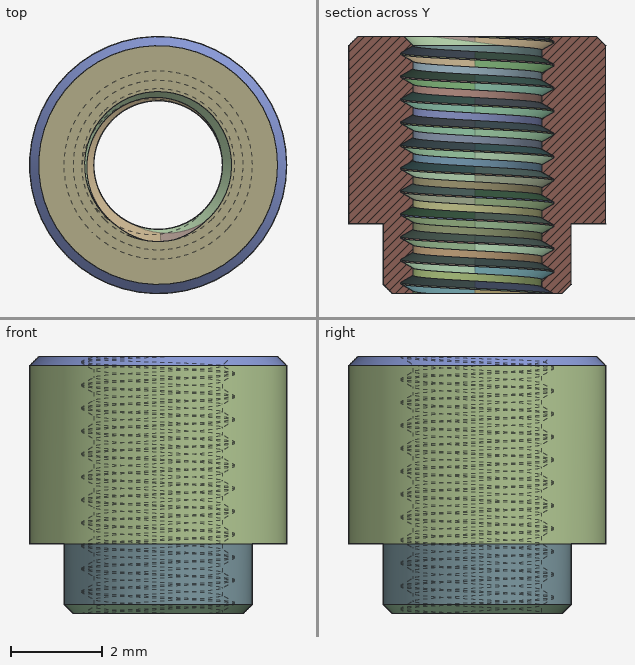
import cadquery as cq
import math

total_height = 5.6
body_diameter = 5.6
spigot_diameter = 4.1
spigot_height = 1.52
edge_chamfer = 0.2

bore_diameter = 2.795
mouth_diameter = 3.2
thread_pitch = 0.5
thread_root_diameter = 3.325
thread_crest_flat = 0.16
flank_angle = 30.0
groove_top_angle = -88.0
bore_overlap = 0.045


def stepped_body():
    """Wide cylinder on a narrower spigot, chamfered at both ends."""
    spigot = (
        cq.Workplane("XY")
        .circle(spigot_diameter / 2)
        .extrude(spigot_height)
        .faces("<Z")
        .chamfer(edge_chamfer)
    )
    body = (
        cq.Workplane("XY")
        .workplane(offset=spigot_height)
        .circle(body_diameter / 2)
        .extrude(total_height - spigot_height)
        .faces(">Z")
        .chamfer(edge_chamfer)
    )
    return spigot.union(body)


def chamfered_bore():
    """Cutter for the through hole with a 45 degree lead-in at the top."""
    bore_radius = bore_diameter / 2
    mouth_radius = mouth_diameter / 2
    lead_in_depth = mouth_radius - bore_radius
    return (
        cq.Workplane("XZ")
        .lineTo(bore_radius, 0)
        .lineTo(bore_radius, total_height - lead_in_depth)
        .lineTo(mouth_radius, total_height)
        .lineTo(0, total_height)
        .close()
        .revolve(360, (0, 0), (0, 1))
    )


def groove_turn():
    """Cutter for one right-handed turn of the thread, ending at the top face."""
    bore_radius = bore_diameter / 2
    root_radius = thread_root_diameter / 2
    inner_radius = bore_radius - bore_overlap
    flank_slope = math.tan(math.radians(flank_angle))
    half_width_at_bore = (thread_pitch - thread_crest_flat) / 2
    half_width_inside = half_width_at_bore + bore_overlap * flank_slope
    half_width_at_root = half_width_at_bore - (root_radius - bore_radius) * flank_slope

    helix = cq.Wire.makeHelix(thread_pitch, thread_pitch, bore_radius)
    turn = (
        cq.Workplane("XZ")
        .moveTo(inner_radius, -half_width_inside)
        .lineTo(root_radius, -half_width_at_root)
        .lineTo(root_radius, half_width_at_root)
        .lineTo(inner_radius, half_width_inside)
        .close()
        .sweep(cq.Workplane(obj=helix), isFrenet=True)
    )
    return turn.rotate((0, 0, 0), (0, 0, 1), groove_top_angle).translate((0, 0, total_height - thread_pitch))


def cut_thread(part):
    """Cut the thread turn by turn, from one turn above the top face to below the base."""
    turn = groove_turn()
    turns_to_base = math.ceil(total_height / thread_pitch) + 1
    for index in range(-1, turns_to_base):
        part = part.cut(turn.translate((0, 0, -index * thread_pitch)))
    return part


result = cut_thread(stepped_body().cut(chamfered_bore())).solids()